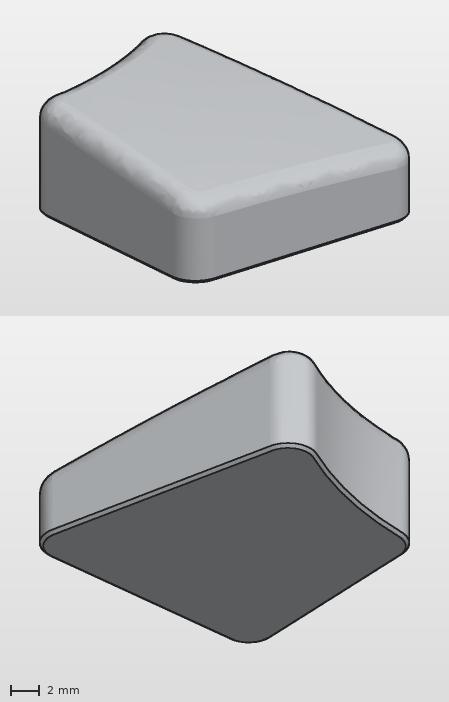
import cadquery as cq
import math

HOLLOW_RADIUS = 28.85
RIGHT_FACE_X = 46.73
FRONT_FACE_Y = 1.95
BACK_WALL_ANGLE = 14.0
BACK_RIGHT_Y = 23.10

DOME_RADIUS = 275.0
DOME_APEX_Z = 10.21

CORNER_RADIUS = 4.25 / 2
TOP_FILLET = 1.5
BOTTOM_CHAMFER = 0.25


def on_hollow(y):
    """Point of the concave wall at the given Y."""
    return (math.sqrt(HOLLOW_RADIUS**2 - y**2), y)


def back_left_corner():
    """Point where the line of the back wall crosses the circle of the concave wall."""
    tilt = math.radians(BACK_WALL_ANGLE)
    along_x = math.cos(tilt)
    along_y = math.sin(tilt)
    half_b = RIGHT_FACE_X * along_x + BACK_RIGHT_Y * along_y
    c = RIGHT_FACE_X**2 + BACK_RIGHT_Y**2 - HOLLOW_RADIUS**2
    distance = half_b - math.sqrt(half_b**2 - c)
    return (RIGHT_FACE_X - distance * along_x, BACK_RIGHT_Y - distance * along_y)


def make_prism():
    """Upright four-sided block with one concave wall and rounded corners."""
    front_left = on_hollow(FRONT_FACE_Y)
    back_left = back_left_corner()
    hollow_middle = on_hollow((front_left[1] + back_left[1]) / 2)
    return (
        cq.Workplane("XY")
        .moveTo(*front_left)
        .lineTo(RIGHT_FACE_X, FRONT_FACE_Y)
        .lineTo(RIGHT_FACE_X, BACK_RIGHT_Y)
        .lineTo(*back_left)
        .threePointArc(hollow_middle, front_left)
        .close()
        .extrude(DOME_APEX_Z)
        .edges("|Z")
        .fillet(CORNER_RADIUS)
    )


def make_dome():
    """Sphere centred on the Z axis whose surface falls away from the concave wall."""
    return cq.Workplane("XY").sphere(DOME_RADIUS).translate((0, 0, DOME_APEX_Z - DOME_RADIUS))


block = make_prism().intersect(make_dome())
block = block.faces("<Z").edges().chamfer(BOTTOM_CHAMFER)
result = block.faces(">Z").edges().fillet(TOP_FILLET)